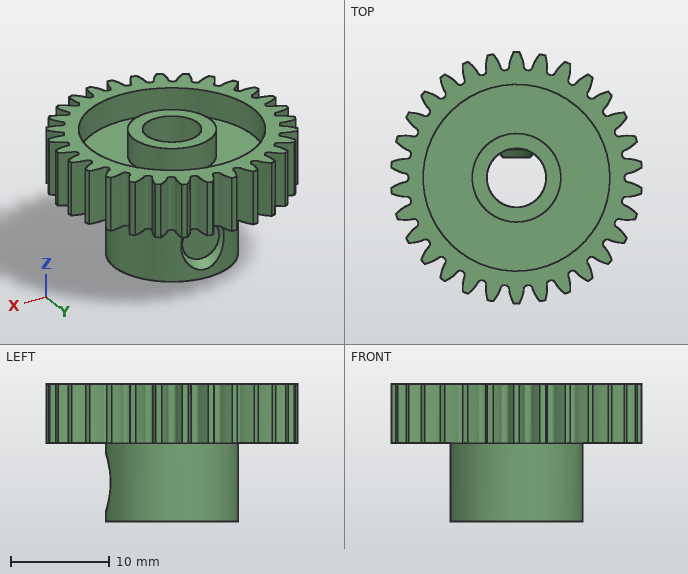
import cadquery as cq
import math

TOOTH_COUNT = 30
TIP_DIAMETER = 25.6
PRESSURE_ANGLE = math.radians(20)
ADDENDUM = 1.0
DEDENDUM = 1.25
FLANK_SPANS = 6
FIRST_TOOTH_ANGLE = math.pi / 2

MODULE = TIP_DIAMETER / (TOOTH_COUNT + 2 * ADDENDUM)
TOOTH_PITCH = 2 * math.pi / TOOTH_COUNT
TIP_RADIUS = TIP_DIAMETER / 2
PITCH_RADIUS = MODULE * TOOTH_COUNT / 2
ROOT_RADIUS = PITCH_RADIUS - DEDENDUM * MODULE
BASE_RADIUS = PITCH_RADIUS * math.cos(PRESSURE_ANGLE)
FLANK_START_RADIUS = 11.35

TOTAL_HEIGHT = 14.0
FACE_WIDTH = 6.02
HUB_HEIGHT = TOTAL_HEIGHT - FACE_WIDTH
HUB_DIAMETER = 13.5
BORE_DIAMETER = 6.0
BOSS_DIAMETER = 9.0
RECESS_DIAMETER = 19.0
RECESS_DEPTH = 3.0

SCREW_Z = HUB_HEIGHT / 2
SCREW_DIAMETER = 4.3
SCREW_TIP_DIAMETER = 2.71
SCREW_TIP_Y = 2.05
SCREW_CONE_LENGTH = (SCREW_DIAMETER - SCREW_TIP_DIAMETER) / 2
SINK_DIAMETER = BORE_DIAMETER
SINK_DEPTH = (SINK_DIAMETER - SCREW_DIAMETER) / 2
SINK_OUTER_Y = HUB_DIAMETER / 2
SINK_INNER_Y = SINK_OUTER_Y - SINK_DEPTH


def polar(radius, angle):
    return (radius * math.cos(angle), radius * math.sin(angle))


def involute(angle):
    """Polar angle that an involute sweeps up to the point with this pressure angle."""
    return math.tan(angle) - angle


def half_tooth_angle(radius):
    """Half the angle that a tooth takes up at the given radius."""
    local_pressure_angle = math.acos(BASE_RADIUS / radius)
    return TOOTH_PITCH / 4 + involute(PRESSURE_ANGLE) - involute(local_pressure_angle)


def root_fillet_angle():
    """Angle from the start of a flank to the point where its fillet is tangent to the root circle."""
    slope = math.acos(BASE_RADIUS / FLANK_START_RADIUS)
    fillet_radius = (FLANK_START_RADIUS**2 - ROOT_RADIUS**2) / (
        2 * (ROOT_RADIUS - FLANK_START_RADIUS * math.sin(slope))
    )
    return math.asin(fillet_radius * math.cos(slope) / (ROOT_RADIUS + fillet_radius))


def flank_radii():
    """Radii along a flank, root to tip, closer together near the root where it curves most."""
    height = TIP_RADIUS - FLANK_START_RADIUS
    return [FLANK_START_RADIUS + height * (i / FLANK_SPANS) ** 2 for i in range(FLANK_SPANS + 1)]


def toothed_outline():
    """Closed outline of all teeth, drawn counterclockwise one tooth and one gap at a time."""
    radii = flank_radii()
    start_half_angle = half_tooth_angle(FLANK_START_RADIUS)
    root_half_angle = start_half_angle + root_fillet_angle()

    outline = cq.Workplane("XY", origin=(0, 0, HUB_HEIGHT))
    outline = outline.moveTo(*polar(FLANK_START_RADIUS, FIRST_TOOTH_ANGLE - start_half_angle))
    for tooth in range(TOOTH_COUNT):
        middle = FIRST_TOOTH_ANGLE + tooth * TOOTH_PITCH
        gap_middle = middle + TOOTH_PITCH / 2
        next_middle = middle + TOOTH_PITCH
        rising = [polar(r, middle - half_tooth_angle(r)) for r in radii]
        falling = [polar(r, middle + half_tooth_angle(r)) for r in reversed(radii)]
        root_start = polar(ROOT_RADIUS, middle + root_half_angle)
        root_end = polar(ROOT_RADIUS, next_middle - root_half_angle)
        next_flank = polar(FLANK_START_RADIUS, next_middle - start_half_angle)
        outline = (
            outline.spline(rising[1:], includeCurrent=True)
            .threePointArc(polar(TIP_RADIUS, middle), falling[0])
            .spline(falling[1:], includeCurrent=True)
            .tangentArcPoint(root_start, relative=False)
            .threePointArc(polar(ROOT_RADIUS, gap_middle), root_end)
            .tangentArcPoint(next_flank, relative=False)
        )
    return outline.close()


def turned_about_screw_axis(profile):
    """Solid of revolution about the screw axis; the profile points are (radius, y)."""
    return (
        cq.Workplane("XY", origin=(0, 0, SCREW_Z))
        .polyline(profile)
        .close()
        .revolve(360, (0, 0, 0), (0, 1, 0))
    )


def make_screw_hole():
    """Cutter from the bore axis out to the hub's side, where it widens into the countersink."""
    return turned_about_screw_axis(
        [
            (0, 0),
            (SCREW_DIAMETER / 2, 0),
            (SCREW_DIAMETER / 2, SINK_INNER_Y),
            (SINK_DIAMETER / 2, SINK_OUTER_Y),
            (0, SINK_OUTER_Y),
        ]
    )


def make_gear():
    toothed_rim = toothed_outline().extrude(FACE_WIDTH)
    hub = cq.Workplane("XY").circle(HUB_DIAMETER / 2).extrude(HUB_HEIGHT)
    recess = (
        cq.Workplane("XY", origin=(0, 0, TOTAL_HEIGHT))
        .circle(RECESS_DIAMETER / 2)
        .circle(BOSS_DIAMETER / 2)
        .extrude(-RECESS_DEPTH)
    )
    bore = cq.Workplane("XY").circle(BORE_DIAMETER / 2).extrude(TOTAL_HEIGHT)
    gear_body = toothed_rim.union(hub).cut(recess).cut(bore).cut(make_screw_hole())
    return gear_body.solids()


def make_set_screw():
    """Plain screw that fills its hole, with a flat-tipped cone standing into the bore."""
    return turned_about_screw_axis(
        [
            (0, SCREW_TIP_Y),
            (SCREW_TIP_DIAMETER / 2, SCREW_TIP_Y),
            (SCREW_DIAMETER / 2, SCREW_TIP_Y + SCREW_CONE_LENGTH),
            (SCREW_DIAMETER / 2, SINK_INNER_Y),
            (0, SINK_INNER_Y),
        ]
    )


gear = make_gear()
set_screw = make_set_screw()

result = cq.Compound.makeCompound([gear.val(), set_screw.val()])